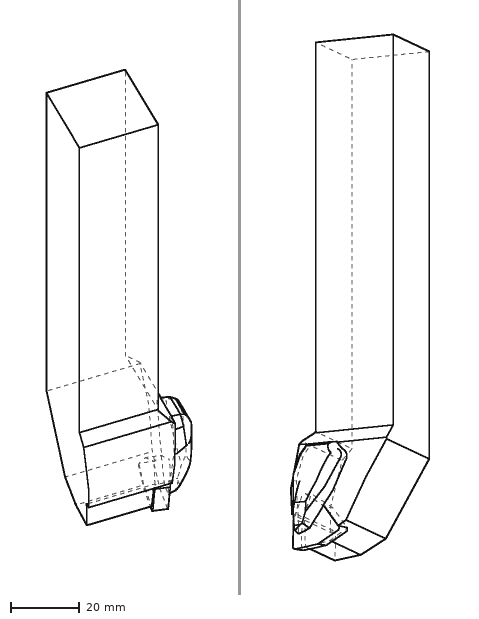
import cadquery as cq
import math


shank_size = 25.0
tool_length = 150.0

head_width = 32.0
head_height = 29.6
shoulder_x = 28.2
shoulder_z = 30.1
right_shoulder_start_z = shoulder_z + (shoulder_x - shank_size)
top_shoulder_start_z = 32.9
right_flank_z = 16.2
left_slope_z = 27.8
lower_slope_point = (14.0, 5.2)
heel_point = (22.1, 1.1)
tip_floor_point = (30.5, 0.2)
seat_wall_point = (30.3, 8.9)

crease_start = (6.6, 17.0)
crease_end = (22.2, 29.5)
top_fall_angle = 8.0

insert_circle = 12.7
insert_thickness = 4.76
nose_angle = 80.0
nose_radius = 0.8
corner_count = 3
insert_tilt = 8.5
insert_tip = (32.445, 25.0, -1.425)

pocket_clearance = 8.0

nose_base_y = 26.0
nose_top_y = 35.74
nose_shoulder_y = 32.3
wall_draft = 12.0
shoulder_draft = 30.0
nose_back_z = 29.3
nose_front_z = 2.6
nose_base_right_x = 30.8
nose_right_x = 30.1
nose_crest_z = 22.3
nose_crest_x = 18.0


def make_shank():
    return cq.Workplane("XY").box(
        shank_size, shank_size, tool_length - left_slope_z, centered=False
    ).translate((0, 0, left_slope_z))


def make_head_blank():
    outline = [
        (0, left_slope_z),
        lower_slope_point,
        heel_point,
        tip_floor_point,
        seat_wall_point,
        (head_width, seat_wall_point[1]),
        (head_width, right_flank_z),
        (shoulder_x, shoulder_z),
        (shank_size, right_shoulder_start_z),
        (0, right_shoulder_start_z),
    ]
    blank = cq.Workplane("XZ").polyline(outline).close().extrude(-head_height)
    rise = head_height - shank_size
    above_shoulder = (
        cq.Workplane("YZ")
        .polyline([
            (shank_size, top_shoulder_start_z),
            (shank_size + 2 * rise, top_shoulder_start_z - 2 * rise),
            (shank_size + 2 * rise, 2 * top_shoulder_start_z),
            (shank_size, 2 * top_shoulder_start_z),
        ])
        .close()
        .extrude(2 * head_width)
    )
    return blank.cut(above_shoulder)


def make_top_fall():
    """Wedge removed above the sloped part of the head top."""
    along_x = crease_end[0] - crease_start[0]
    along_z = crease_end[1] - crease_start[1]
    reach = 2 * head_width
    drop = reach * math.tan(math.radians(top_fall_angle))
    plane = cq.Plane(
        origin=(crease_start[0], head_height, crease_start[1]),
        xDir=(along_z, 0, -along_x),
        normal=(along_x, 0, along_z),
    )
    return (
        cq.Workplane(plane)
        .polyline([(0, 0), (reach, -drop), (reach, drop), (0, drop)])
        .close()
        .extrude(reach, both=True)
    )


def insert_plane():
    """Plane of the rake face: origin at the insert centre, local x toward the tip."""
    tilt = math.radians(insert_tilt)
    flat = math.cos(tilt) * math.sqrt(0.5)
    toward_tip = cq.Vector(flat, -math.sin(tilt), -flat)
    lean = math.sin(tilt) * math.sqrt(0.5)
    normal = cq.Vector(lean, math.cos(tilt), -lean)
    centre = cq.Vector(*insert_tip) - toward_tip * nose_distance()
    return cq.Plane(origin=centre, xDir=toward_tip, normal=normal)


def nose_distance():
    return insert_circle / 2 / math.sin(math.radians(nose_angle / 2))


def make_trigon(z_from, z_to):
    """Trigon prism with rounded noses between two levels measured from the rake face."""
    corner_step = 180 / corner_count
    blunt_angle = 360 - 2 * corner_step - nose_angle
    blunt_distance = insert_circle / 2 / math.sin(math.radians(blunt_angle / 2))
    outline = []
    nose_points = []
    for index in range(2 * corner_count):
        angle = math.radians(index * corner_step)
        is_nose = index % 2 == 0
        distance = nose_distance() if is_nose else blunt_distance
        point = (distance * math.cos(angle), distance * math.sin(angle))
        outline.append(point)
        if is_nose:
            nose_points.append(point)
    base = cq.Workplane("XY").workplane(offset=z_from)
    body = base.polyline(outline).close().extrude(z_to - z_from)
    middle = (z_from + z_to) / 2
    nose_edges = [
        body.edges(cq.NearestToPointSelector((x, y, middle))).val()
        for x, y in nose_points
    ]
    body = body.newObject(nose_edges).fillet(nose_radius)
    return cq.Workplane(body.val().moved(cq.Location(insert_plane())))


def nose_plan(y_level):
    """Outline of the clamp nose; local coordinates are (x, -z)."""
    plane = cq.Plane(origin=(0, y_level, 0), xDir=(1, 0, 0), normal=(0, 1, 0))
    return (
        cq.Workplane(plane)
        .moveTo(15.8, -nose_back_z)
        .lineTo(13.8, -26.8)
        .threePointArc((12.2, -24.9), (12.4, -22.4))
        .lineTo(17.6, -14.0)
        .lineTo(26.4, -4.2)
        .lineTo(nose_base_right_x, -nose_front_z)
        .lineTo(nose_base_right_x, -18.0)
        .lineTo(27.9, -25.8)
        .lineTo(25.0, -nose_back_z)
        .close()
    )


def make_clamp_nose():
    """Drafted block trimmed by its rounded side profile (Y, Z) and end profile (X, Y)."""
    lower = nose_plan(nose_base_y).extrude(nose_shoulder_y - nose_base_y, taper=wall_draft)
    body = (
        lower.faces(">Y").wires().toPending()
        .extrude(nose_top_y - nose_shoulder_y, taper=shoulder_draft)
    )
    side = (
        cq.Workplane("YZ")
        .moveTo(nose_base_y, nose_front_z)
        .lineTo(27.3, nose_front_z)
        .lineTo(30.0, 4.6)
        .lineTo(34.1, 10.4)
        .threePointArc((35.4, 16.5), (nose_top_y, nose_crest_z))
        .threePointArc((34.9, 25.5), (nose_shoulder_y, 28.4))
        .lineTo(nose_base_y, nose_back_z)
        .close()
        .extrude(2 * head_width)
    )
    end = (
        cq.Workplane("XY")
        .moveTo(0, nose_base_y)
        .lineTo(0, nose_top_y)
        .lineTo(nose_crest_x, nose_top_y)
        .lineTo(24.9, 35.5)
        .threePointArc((27.5, 34.2), (29.0, 32.0))
        .lineTo(nose_right_x, 28.6)
        .lineTo(nose_right_x, nose_base_y)
        .close()
        .extrude(2 * head_width)
    )
    return body.intersect(side).intersect(end)


insert = make_trigon(-insert_thickness, 0)
pocket = make_trigon(-insert_thickness, pocket_clearance)

head = make_head_blank().cut(make_top_fall()).cut(pocket)
clamp_nose = make_clamp_nose().cut(insert)
holder = head.union(make_shank()).union(clamp_nose)

result = cq.Compound.makeCompound([*holder.solids().vals(), insert.val()])